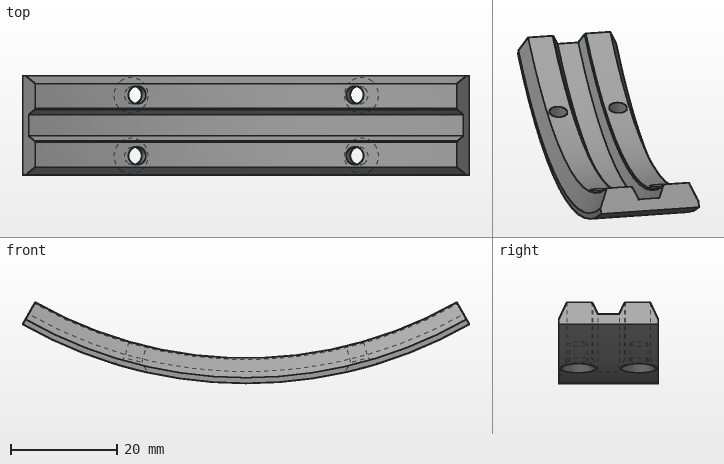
import cadquery as cq
import math

length = 84.1
width = 18.8
outer_radius = 85.0
thickness = 4.8
half_angle = math.degrees(math.asin(length / 2 / outer_radius))
inner_radius = outer_radius - thickness

side_height = 1.1
top_width = 15.7

groove_depth = 2.5
groove_floor_width = 3.95
groove_wall_width = 5.9
groove_edge_chamfer = 0.25
groove_top_width = groove_wall_width + 2 * groove_edge_chamfer

hole_diameter = 3.4
countersink_diameter = 6.7
hole_spacing = 11.4
hole_angle = 14.8

cut_margin = 0.8


def rail():
    """Sweep the section, drawn on the YZ plane, evenly to both sides of the middle."""
    half_section = [
        (width / 2, -outer_radius),
        (width / 2, -outer_radius + side_height),
        (top_width / 2, -inner_radius),
        (groove_top_width / 2, -inner_radius),
        (groove_wall_width / 2, -inner_radius - groove_edge_chamfer),
        (groove_floor_width / 2, -inner_radius - groove_depth),
    ]
    mirrored = [(-y, z) for y, z in reversed(half_section)]
    return (
        cq.Workplane("YZ")
        .polyline(half_section + mirrored)
        .close()
        .revolve(2 * half_angle, (0, 0), (1, 0))
        .rotate((0, 0, 0), (0, 1, 0), -half_angle)
    )


def countersunk_hole(angle, y):
    """Radial hole with a 90 degree countersink opening on the outer face."""
    hole_radius = hole_diameter / 2
    sink_radius = countersink_diameter / 2
    sink_depth = sink_radius - hole_radius
    profile = [
        (0, -inner_radius + cut_margin),
        (hole_radius, -inner_radius + cut_margin),
        (hole_radius, -outer_radius + sink_depth),
        (sink_radius, -outer_radius),
        (sink_radius + cut_margin, -outer_radius - cut_margin),
        (0, -outer_radius - cut_margin),
    ]
    return (
        cq.Workplane("XZ")
        .polyline(profile)
        .close()
        .revolve(360, (0, 0), (0, 1))
        .translate((0, y, 0))
        .rotate((0, 0, 0), (0, 1, 0), angle)
    )


result = rail()
for angle in (-hole_angle, hole_angle):
    for y in (-hole_spacing / 2, hole_spacing / 2):
        result = result.cut(countersunk_hole(angle, y))